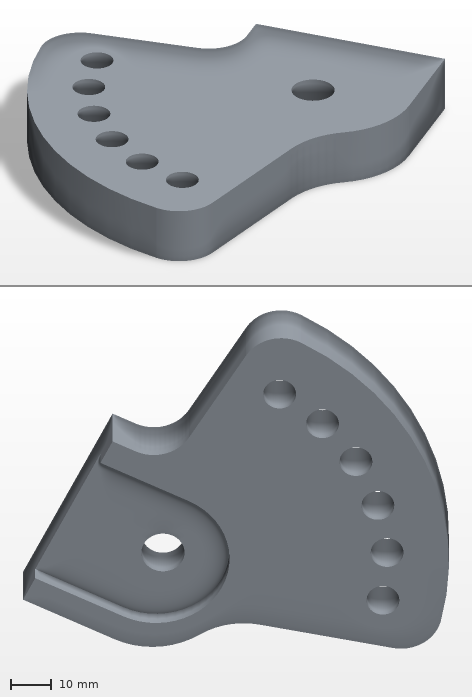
import cadquery as cq
import math

thickness = 14.0
rim_radius = 70.0
pivot_diameter = 10.6

head_angle = 50.0
head_face_distance = 26.0
head_half_width = 24.7
shoulder_radius = 21.0
shoulder_outward = 1.1

flank_angle = 55.0
flank_half_width = 15.4
corner_radius = 10.0
notch_radius = 10.0
neck_radius = 20.0

hole_count = 6
hole_diameter = 8.0
hole_circle_radius = 54.9
hole_step = 14.0

slot_width = 36.0
slot_height = 4.6
slot_straight_length = 24.1

head_rad = math.radians(head_angle)
flank_rad = math.radians(flank_angle)
flank_slope = math.tan(flank_rad)


def head_point(along, outward):
    """Point given along the end face and outward from the pivot towards it."""
    return (
        along * math.cos(head_rad) - outward * math.sin(head_rad),
        along * math.sin(head_rad) + outward * math.cos(head_rad),
    )


flank_distance = flank_half_width * math.sin(flank_rad)
corner_angle = math.pi / 2 - flank_rad - math.acos(flank_distance / rim_radius)
corner_right = (rim_radius * math.cos(corner_angle), rim_radius * math.sin(corner_angle))
corner_left = (-corner_right[0], corner_right[1])

apex = head_point(head_half_width, head_face_distance)
head_left = head_point(-head_half_width, head_face_distance)
side_slope = -1 / math.tan(head_rad)
side_height = head_left[1] - side_slope * head_left[0]
flank_height = flank_slope * flank_half_width
notch_x = (side_height - flank_height) / (flank_slope - side_slope)
notch = (notch_x, flank_slope * (notch_x + flank_half_width))

shoulder_center = head_point(head_half_width - shoulder_radius, shoulder_outward)
shoulder_start = head_point(head_half_width, shoulder_outward)

flank_normal = (math.sin(flank_rad), math.cos(flank_rad))
shoulder_to_flank = flank_distance - sum(c * n for c, n in zip(shoulder_center, flank_normal))
neck_angle = math.pi / 2 - flank_rad - math.acos(shoulder_to_flank / shoulder_radius)


def shoulder_point(angle):
    return (
        shoulder_center[0] + shoulder_radius * math.cos(angle),
        shoulder_center[1] + shoulder_radius * math.sin(angle),
    )


neck = shoulder_point(neck_angle)
shoulder_middle = shoulder_point((neck_angle + head_rad) / 2)


def fillet_corner(body, point, radius):
    """Round the vertical edge that stands on the given outline point."""
    edge = cq.selectors.NearestToPointSelector((*point, thickness / 2))
    return body.edges("|Z").edges(edge).fillet(radius)


def make_plate():
    plate = (
        cq.Workplane("XY")
        .moveTo(*apex)
        .lineTo(*shoulder_start)
        .threePointArc(shoulder_middle, neck)
        .lineTo(*corner_right)
        .threePointArc((0, -rim_radius), corner_left)
        .lineTo(*notch)
        .lineTo(*head_left)
        .close()
        .extrude(thickness)
    )
    plate = fillet_corner(plate, neck, neck_radius)
    plate = fillet_corner(plate, notch, notch_radius)
    for corner in (corner_left, corner_right):
        plate = fillet_corner(plate, corner, corner_radius)
    return plate


def make_holes():
    first_angle = -90 - hole_step * (hole_count - 1) / 2
    rim_holes = (
        cq.Workplane("XY")
        .polarArray(hole_circle_radius, first_angle, hole_step, hole_count, fill=False)
        .circle(hole_diameter / 2)
        .extrude(thickness)
    )
    pivot_hole = cq.Workplane("XY").circle(pivot_diameter / 2).extrude(thickness)
    return rim_holes.add(pivot_hole).combine()


def make_slot():
    half_width = slot_width / 2
    slot_end = head_face_distance - slot_straight_length
    return (
        cq.Workplane("XY")
        .moveTo(*head_point(half_width, head_face_distance))
        .lineTo(*head_point(half_width, slot_end))
        .threePointArc(head_point(0, slot_end - half_width), head_point(-half_width, slot_end))
        .lineTo(*head_point(-half_width, head_face_distance))
        .close()
        .extrude(slot_height)
    )


result = make_plate().cut(make_holes()).cut(make_slot())